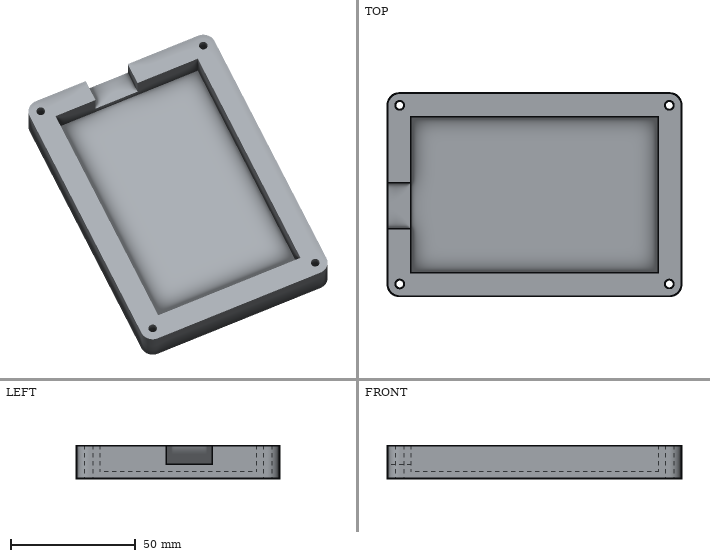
import cadquery as cq

length = 118.2
width = 81.7
height = 13.2
corner_radius = 5.0

rim = 9.5
pocket_depth = 10.3

notch_width = 18.5
notch_depth = 7.5
notch_center_y = -4.5

hole_diameter = 3.4
hole_inset = 5.0


def make_block():
    block = cq.Workplane("XY").box(length, width, height, centered=(True, True, False))
    return block.edges("|Z").fillet(corner_radius)


def cut_pocket(body):
    return (
        body.faces(">Z")
        .workplane(origin=(0, 0, height))
        .rect(length - 2 * rim, width - 2 * rim)
        .cutBlind(-pocket_depth)
    )


def cut_notch(body):
    notch = cq.Workplane("XY").box(rim, notch_width, notch_depth, centered=(False, True, False))
    return body.cut(notch.translate((-length / 2, notch_center_y, height - notch_depth)))


def drill_corner_holes(body):
    return (
        body.faces(">Z")
        .workplane(origin=(0, 0, height))
        .rect(length - 2 * hole_inset, width - 2 * hole_inset, forConstruction=True)
        .vertices()
        .hole(hole_diameter)
    )


result = drill_corner_holes(cut_notch(cut_pocket(make_block())))